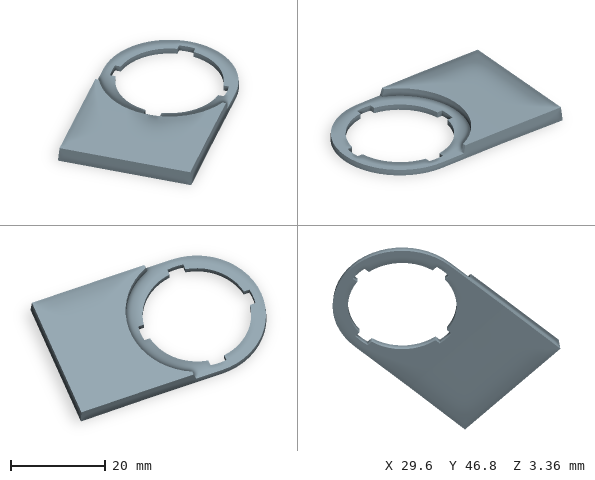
import cadquery as cq
import math

overall_width = 29.55
overall_height = 3.36
outer_radius = overall_width / 2
bend_y = -15.98
tilted_length = 16.08
front_y = bend_y - tilted_length

side_draft = 5.0
front_draft = 4.0
base_tilt = 1.0
label_tilt = 0.6
step_slope = 15.0
recess_draft = 1.5

ring_thickness = 1.3
base_drop = tilted_length * math.tan(math.radians(base_tilt))
label_drop = tilted_length * math.tan(math.radians(label_tilt))
bottom_z = -base_drop
block_top_z = overall_height - base_drop
step_height = block_top_z - ring_thickness

step_foot_y = -5.85
step_top_y = step_foot_y - step_height * math.tan(math.radians(step_slope))
recess_foot_radius = 15.05
recess_top_radius = recess_foot_radius + step_height * math.tan(math.radians(recess_draft))

bore_radius = 11.5
notch_radius = 12.75
notch_width = 3.6
notch_count = 4

margin = 5.0


def drafted_plate():
    """Round-ended plate with drafted sides, longer than the part at the front."""
    rough_front_y = front_y - margin
    return (
        cq.Workplane("XY", origin=(0, 0, bottom_z))
        .moveTo(-outer_radius, rough_front_y)
        .lineTo(outer_radius, rough_front_y)
        .lineTo(outer_radius, 0)
        .threePointArc((0, outer_radius), (-outer_radius, 0))
        .close()
        .extrude(overall_height, taper=side_draft)
    )


def side_profile():
    """Side outline: thin ring, sloped step, and a front half tilted down at the bend."""
    front_top_z = block_top_z - label_drop
    front_top_y = front_y + (front_top_z - bottom_z) * math.tan(math.radians(front_draft))
    rear_y = outer_radius + margin
    outline = [
        (rear_y, 0),
        (rear_y, ring_thickness),
        (step_foot_y, ring_thickness),
        (step_top_y, block_top_z),
        (bend_y, block_top_z),
        (front_top_y, front_top_z),
        (front_y, bottom_z),
        (bend_y, 0),
    ]
    return cq.Workplane("YZ").polyline(outline).close().extrude(outer_radius + margin, both=True)


def ring_recess():
    """Conical clearance above the ring that scoops into the raised block."""
    return (
        cq.Workplane("XY", origin=(0, 0, ring_thickness))
        .circle(recess_foot_radius)
        .workplane(offset=step_height)
        .circle(recess_top_radius)
        .loft()
    )


def ring_opening():
    """Through bore with evenly spaced round-bottomed notches."""
    base = cq.Workplane("XY", origin=(0, 0, -margin))
    depth = ring_thickness + 2 * margin
    opening = base.circle(bore_radius).extrude(depth)
    notch_limit = base.circle(notch_radius).extrude(depth)
    notch_bar = base.rect(2 * outer_radius, notch_width).extrude(depth)
    for index in range(notch_count // 2):
        bar = notch_bar.rotate((0, 0, 0), (0, 0, 1), index * 360 / notch_count)
        opening = opening.union(bar.intersect(notch_limit))
    return opening


result = drafted_plate().intersect(side_profile()).cut(ring_recess()).cut(ring_opening())